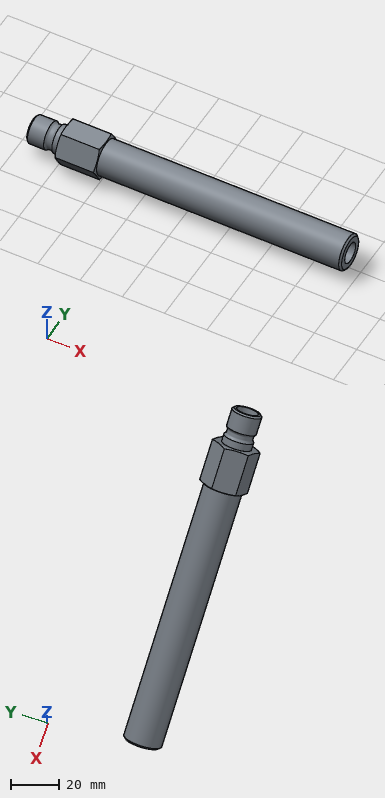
import cadquery as cq
import math

length = 150.0
hex_start = 15.5
hex_end = 34.5

bore_diameter = 9.5
spigot_diameter = 13.0
tube_diameter = 16.6
hex_across_flats = 18.0

spigot_chamfer = 0.8
tube_chamfer = 0.9

groove_center = 10.4
groove_width = 3.9
groove_flank_angle = 35.0
groove_fillet = 0.9
groove_floor_diameter = 11.5

hex_face_diameter = 17.5
hex_chamfer_angle = 15.0

spigot_radius = spigot_diameter / 2
tube_radius = tube_diameter / 2
hex_across_corners = hex_across_flats / math.cos(math.pi / 6)


def revolve_about_x(outline):
    """Turn a closed (x, radius) outline into a solid around the X axis."""
    return outline.close().revolve(360, (0, 0, 0), (1, 0, 0))


def make_spigot():
    """Plain spigot with a chamfered tip, reaching inside the hexagon."""
    return revolve_about_x(
        cq.Workplane("XY")
        .lineTo(0, spigot_radius - spigot_chamfer)
        .lineTo(spigot_chamfer, spigot_radius)
        .lineTo(hex_end, spigot_radius)
        .lineTo(hex_end, 0)
    )


def make_groove():
    """Ring cutter with sloped flanks that blend into a flat floor."""
    floor_radius = groove_floor_diameter / 2
    depth = spigot_radius - floor_radius
    slope = math.radians(groove_flank_angle)
    left = groove_center - groove_width / 2
    right = groove_center + groove_width / 2
    left_corner = left + depth / math.tan(slope)
    right_corner = right - depth / math.tan(slope)
    tangent_length = groove_fillet * math.tan(slope / 2)
    tangent_run = tangent_length * math.cos(slope)
    tangent_radius = floor_radius + tangent_length * math.sin(slope)
    clearance_radius = spigot_radius + depth
    return revolve_about_x(
        cq.Workplane("XY")
        .moveTo(left, spigot_radius)
        .lineTo(left_corner - tangent_run, tangent_radius)
        .radiusArc((left_corner + tangent_length, floor_radius), -groove_fillet)
        .lineTo(right_corner - tangent_length, floor_radius)
        .radiusArc((right_corner + tangent_run, tangent_radius), -groove_fillet)
        .lineTo(right, spigot_radius)
        .lineTo(right, clearance_radius)
        .lineTo(left, clearance_radius)
    )


def make_hexagon():
    """Hexagon with corners on +Y and -Y, its ends trimmed by cones."""
    hexagon = (
        cq.Workplane("YZ", origin=(hex_start, 0, 0))
        .polygon(6, hex_across_corners)
        .extrude(hex_end - hex_start)
    )
    face_radius = hex_face_diameter / 2
    corner_radius = hex_across_corners / 2
    cone_length = (corner_radius - face_radius) * math.tan(math.radians(hex_chamfer_angle))
    envelope = revolve_about_x(
        cq.Workplane("XY")
        .moveTo(hex_start, 0)
        .lineTo(hex_start, face_radius)
        .lineTo(hex_start + cone_length, corner_radius)
        .lineTo(hex_end - cone_length, corner_radius)
        .lineTo(hex_end, face_radius)
        .lineTo(hex_end, 0)
    )
    return hexagon.intersect(envelope)


def make_tube():
    """Long round tube with a chamfered free end."""
    return revolve_about_x(
        cq.Workplane("XY")
        .moveTo(hex_start, 0)
        .lineTo(hex_start, tube_radius)
        .lineTo(length - tube_chamfer, tube_radius)
        .lineTo(length, tube_radius - tube_chamfer)
        .lineTo(length, 0)
    )


def make_bore():
    """Straight hole through the whole part."""
    return cq.Workplane("YZ").circle(bore_diameter / 2).extrude(length)


spigot = make_spigot().cut(make_groove())
result = spigot.union(make_hexagon()).union(make_tube()).cut(make_bore())